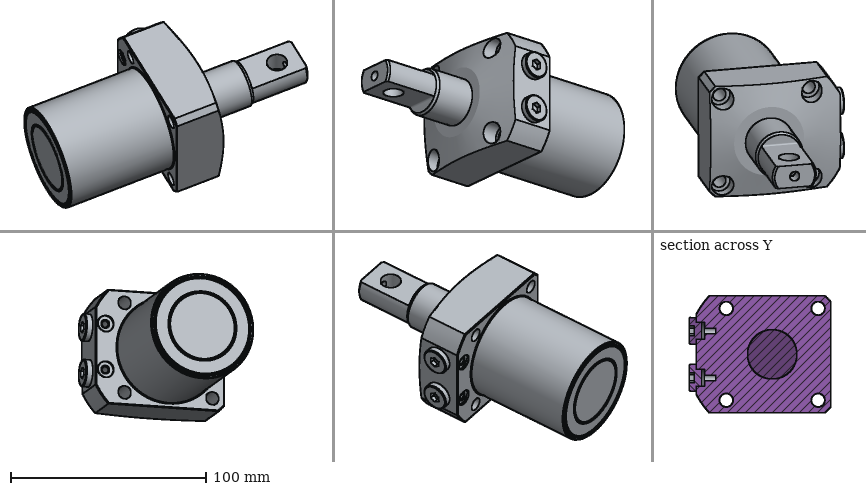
import cadquery as cq
import math


FLANGE_LEFT = -39.0
FLANGE_RIGHT = 30.0
FLANGE_HALF_HEIGHT = 30.0
FLANGE_THICKNESS = 30.0
FLANGE_CORNER_RADIUS = 44.0
FLANGE_CORNER_CHAMFER = 3.0
FLANGE_EDGE_CHAMFER = 0.5
CROWN_FLAT_RADIUS = 18.5
CROWN_ANGLE = 15.0

BARREL_DIAMETER = 55.0
BARREL_LENGTH = 59.0
BARREL_END_CHAMFER = 0.5
BARREL_ROOT_CHAMFER = 0.5

MOUNT_PITCH = 47.0
MOUNT_HOLE_DIAMETER = 6.8
MOUNT_HEAD_DIAMETER = 11.0
MOUNT_HEAD_SEAT_Y = 19.0

PORT_PITCH = 24.0
PORT_X = -33.5
PORT_RECESS_DIAMETER = 8.4
PORT_RECESS_DEPTH = 1.1
PORT_HOLE_DIAMETER = 3.4
PORT_HOLE_CHAMFER = 0.5
PORT_BORE_DIAMETER = 8.6
PORT_BORE_DEPTH = 4.3
PASSAGE_DIAMETER = 3.0
PASSAGE_DEPTH = 10.0
PLUG_Y = 12.0
PLUG_DIAMETER = 14.0
PLUG_HEIGHT = 3.5
PLUG_EDGE_CHAMFER = 0.5
PLUG_SHANK_LENGTH = 3.0
PLUG_HEX_FLATS = 5.0
PLUG_HEX_DEPTH = 2.5

CAP_DIAMETER = 51.0
CAP_THICKNESS = 10.0
CAP_JOINT_CHAMFER = 0.6
CAP_GROOVE_DIAMETER = 35.5
CAP_GROOVE_WIDTH = 1.2
CAP_GROOVE_DEPTH = CAP_GROOVE_WIDTH / 2

ROD_DIAMETER = 25.0
ROD_TIP_Y = 84.5
ROD_CHAMFER_LENGTH = 1.5
TONGUE_DIAMETER = 23.0
TONGUE_LENGTH = 31.5
TONGUE_THICKNESS = 12.0
TONGUE_TIP_CHAMFER = 1.0
TONGUE_ROOT_FILLET = 0.8
PIN_HOLE_DIAMETER = 10.5
PIN_HOLE_FROM_TIP = 12.5
TIP_HOLE_DIAMETER = 5.0

BARREL_END_Y = -BARREL_LENGTH


def cylinder_y(diameter, y_start, y_end, x=0.0, z=0.0):
    """Cylinder parallel to Y between two Y positions."""
    return (
        cq.Workplane("XZ", origin=(x, y_start, z))
        .circle(diameter / 2)
        .extrude(y_start - y_end)
    )


def revolve_y(profile):
    """Solid of revolution about Y from (radius, y) points."""
    return cq.Workplane("XY").polyline(profile).close().revolve(360, (0, 0, 0), (0, 1, 0))


def make_flange():
    half = FLANGE_HALF_HEIGHT
    arc_top_x = -math.sqrt(FLANGE_CORNER_RADIUS**2 - half**2)
    arc_side_z = math.sqrt(FLANGE_CORNER_RADIUS**2 - FLANGE_LEFT**2)
    arc_mid_angle = (math.atan2(half, arc_top_x) + math.atan2(arc_side_z, FLANGE_LEFT)) / 2
    arc_mid_x = FLANGE_CORNER_RADIUS * math.cos(arc_mid_angle)
    arc_mid_z = FLANGE_CORNER_RADIUS * math.sin(arc_mid_angle)
    cut_x = FLANGE_RIGHT - FLANGE_CORNER_CHAMFER
    cut_z = half - FLANGE_CORNER_CHAMFER
    block = (
        cq.Workplane("XZ")
        .moveTo(arc_top_x, half)
        .lineTo(cut_x, half)
        .lineTo(FLANGE_RIGHT, cut_z)
        .lineTo(FLANGE_RIGHT, -cut_z)
        .lineTo(cut_x, -half)
        .lineTo(arc_top_x, -half)
        .threePointArc((arc_mid_x, -arc_mid_z), (FLANGE_LEFT, -arc_side_z))
        .lineTo(FLANGE_LEFT, arc_side_z)
        .threePointArc((arc_mid_x, arc_mid_z), (arc_top_x, half))
        .close()
        .extrude(-FLANGE_THICKNESS)
        .faces("<Y").chamfer(FLANGE_EDGE_CHAMFER)
    )
    crown_drop = (FLANGE_CORNER_RADIUS - CROWN_FLAT_RADIUS) * math.tan(math.radians(CROWN_ANGLE))
    crown = revolve_y([
        (0, 0),
        (FLANGE_CORNER_RADIUS, 0),
        (FLANGE_CORNER_RADIUS, FLANGE_THICKNESS - crown_drop),
        (CROWN_FLAT_RADIUS, FLANGE_THICKNESS),
        (0, FLANGE_THICKNESS),
    ])
    return block.intersect(crown)


def make_barrel():
    radius = BARREL_DIAMETER / 2
    return revolve_y([
        (0, BARREL_END_Y),
        (radius - BARREL_END_CHAMFER, BARREL_END_Y),
        (radius, BARREL_END_Y + BARREL_END_CHAMFER),
        (radius, -BARREL_ROOT_CHAMFER),
        (radius + BARREL_ROOT_CHAMFER, 0),
        (radius, FLANGE_EDGE_CHAMFER),
        (0, FLANGE_EDGE_CHAMFER),
    ])


def make_mount_hole_cutter(x, z):
    hole = cylinder_y(MOUNT_HOLE_DIAMETER, 0, FLANGE_THICKNESS, x, z)
    head = cylinder_y(MOUNT_HEAD_DIAMETER, MOUNT_HEAD_SEAT_Y, FLANGE_THICKNESS, x, z)
    return hole.union(head)


def make_port_cutter(z):
    """Seal recess and chamfered hole that opens into the stepped side bore under the plug."""
    hole_radius = PORT_HOLE_DIAMETER / 2
    recess_radius = PORT_RECESS_DIAMETER / 2
    port = revolve_y([
        (0, 0),
        (recess_radius, 0),
        (recess_radius, PORT_RECESS_DEPTH),
        (hole_radius + PORT_HOLE_CHAMFER, PORT_RECESS_DEPTH),
        (hole_radius, PORT_RECESS_DEPTH + PORT_HOLE_CHAMFER),
        (hole_radius, PLUG_Y),
        (0, PLUG_Y),
    ]).translate((PORT_X, 0, z))
    bore = (
        cq.Workplane("YZ", origin=(FLANGE_LEFT, PLUG_Y, z))
        .circle(PORT_BORE_DIAMETER / 2)
        .extrude(PORT_BORE_DEPTH)
    )
    passage = (
        cq.Workplane("YZ", origin=(FLANGE_LEFT, PLUG_Y, z))
        .circle(PASSAGE_DIAMETER / 2)
        .extrude(PASSAGE_DEPTH)
    )
    return port.union(bore).union(passage)


def make_cap_seat_cutter():
    radius = CAP_DIAMETER / 2
    return revolve_y([
        (0, BARREL_END_Y),
        (radius + CAP_JOINT_CHAMFER, BARREL_END_Y),
        (radius, BARREL_END_Y + CAP_JOINT_CHAMFER),
        (radius, BARREL_END_Y + CAP_THICKNESS),
        (0, BARREL_END_Y + CAP_THICKNESS),
    ])


def make_housing():
    housing = make_flange().union(make_barrel())
    for x in (-MOUNT_PITCH / 2, MOUNT_PITCH / 2):
        for z in (-MOUNT_PITCH / 2, MOUNT_PITCH / 2):
            housing = housing.cut(make_mount_hole_cutter(x, z))
    for z in (-PORT_PITCH / 2, PORT_PITCH / 2):
        housing = housing.cut(make_port_cutter(z))
    housing = housing.cut(make_cap_seat_cutter())
    return housing.cut(cylinder_y(ROD_DIAMETER, 0, FLANGE_THICKNESS))


def make_end_cap():
    radius = CAP_DIAMETER / 2
    groove_radius = CAP_GROOVE_DIAMETER / 2
    return revolve_y([
        (0, BARREL_END_Y),
        (groove_radius - CAP_GROOVE_WIDTH / 2, BARREL_END_Y),
        (groove_radius, BARREL_END_Y + CAP_GROOVE_DEPTH),
        (groove_radius + CAP_GROOVE_WIDTH / 2, BARREL_END_Y),
        (radius - CAP_JOINT_CHAMFER, BARREL_END_Y),
        (radius, BARREL_END_Y + CAP_JOINT_CHAMFER),
        (radius, BARREL_END_Y + CAP_THICKNESS),
        (0, BARREL_END_Y + CAP_THICKNESS),
    ])


def make_rod():
    """Round rod with a flat-sided tongue, a cross pin hole and an axial tip hole."""
    rod_radius = ROD_DIAMETER / 2
    tongue_radius = TONGUE_DIAMETER / 2
    shoulder_y = ROD_TIP_Y - TONGUE_LENGTH
    pin_hole_y = ROD_TIP_Y - PIN_HOLE_FROM_TIP
    rod = revolve_y([
        (0, 0),
        (rod_radius, 0),
        (rod_radius, shoulder_y - ROD_CHAMFER_LENGTH),
        (tongue_radius, shoulder_y),
        (tongue_radius, ROD_TIP_Y - TONGUE_TIP_CHAMFER),
        (tongue_radius - TONGUE_TIP_CHAMFER, ROD_TIP_Y),
        (0, ROD_TIP_Y),
    ])
    flat_cut = (
        cq.Workplane("XY")
        .box(ROD_DIAMETER, TONGUE_LENGTH, rod_radius, centered=(True, False, False))
        .edges("<Y and <Z").fillet(TONGUE_ROOT_FILLET)
        .translate((0, shoulder_y, TONGUE_THICKNESS / 2))
    )
    rod = rod.cut(flat_cut).cut(flat_cut.mirror("XY"))
    pin_hole = (
        cq.Workplane("XY")
        .center(0, pin_hole_y)
        .circle(PIN_HOLE_DIAMETER / 2)
        .extrude(TONGUE_THICKNESS, both=True)
    )
    tip_hole = cylinder_y(TIP_HOLE_DIAMETER, pin_hole_y, ROD_TIP_Y)
    return rod.cut(pin_hole).cut(tip_hole)


def make_plug(z):
    """Plug with a round hex-socket head and a short shank that fills the bore mouth."""
    hex_diameter = PLUG_HEX_FLATS / math.cos(math.pi / 6)
    head = (
        cq.Workplane("YZ")
        .circle(PLUG_DIAMETER / 2)
        .extrude(-PLUG_HEIGHT)
        .faces("<X").chamfer(PLUG_EDGE_CHAMFER)
    )
    shank = cq.Workplane("YZ").circle(PORT_BORE_DIAMETER / 2).extrude(PLUG_SHANK_LENGTH)
    socket = (
        cq.Workplane("YZ", origin=(-PLUG_HEIGHT, 0, 0))
        .transformed(rotate=(0, 0, 90))
        .polygon(6, hex_diameter)
        .extrude(PLUG_HEX_DEPTH)
    )
    return head.union(shank).cut(socket).translate((FLANGE_LEFT, PLUG_Y, z))


housing = make_housing()
end_cap = make_end_cap()
rod = make_rod()
plugs = [make_plug(z) for z in (-PORT_PITCH / 2, PORT_PITCH / 2)]

result = cq.Compound.makeCompound(
    [housing.val(), end_cap.val(), rod.val()] + [plug.val() for plug in plugs]
)